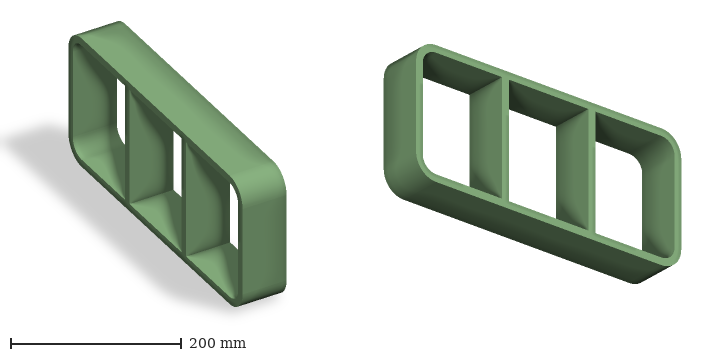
import cadquery as cq

length = 401.5
depth = 60.0
height = 179.5

wall = 10.0
outer_radius = 30.0
inner_radius = outer_radius - wall

divider_count = 2
divider_thickness = 11.0
inner_length = length - 2 * wall
inner_height = height - 2 * wall
bay_width = (inner_length - divider_count * divider_thickness) / (divider_count + 1)
divider_pitch = bay_width + divider_thickness


def upright_block(size_x, size_z):
    """Centred block spanning the full depth of the frame."""
    return cq.Workplane("XY").box(size_x, depth, size_z)


outer = upright_block(length, height).edges("|Y").fillet(outer_radius)
opening = upright_block(inner_length, inner_height).edges("|Y").fillet(inner_radius)
result = outer.cut(opening)

divider_height = height - wall
for index in range(divider_count):
    offset_x = (index - (divider_count - 1) / 2) * divider_pitch
    divider = upright_block(divider_thickness, divider_height).translate((offset_x, 0, 0))
    result = result.union(divider)